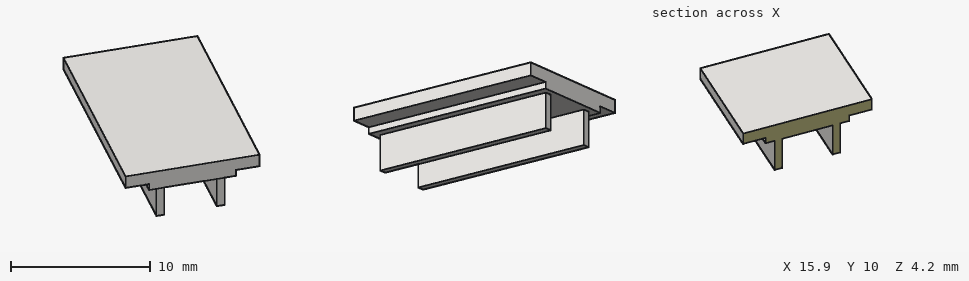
import cadquery as cq

plate_length = 15.9
plate_width = 10.0
plate_thickness = 1.0

pad_width = 6.5
pad_thickness = 0.5

total_height = 4.2
leg_end_inset = 0.5
leg_thickness = 0.6
leg_gap = 3.9

leg_length = plate_length - 2 * leg_end_inset
leg_height = total_height - plate_thickness - pad_thickness
leg_offset = (leg_gap + leg_thickness) / 2


def block(length, width, height, base_z, center_y=0):
    """Box centred on X, with its underside at base_z."""
    return (
        cq.Workplane("XY")
        .box(length, width, height, centered=(True, True, False))
        .translate((0, center_y, base_z))
    )


pad = block(plate_length, pad_width, pad_thickness, leg_height)
plate = block(plate_length, plate_width, plate_thickness, leg_height + pad_thickness)

result = plate.union(pad)
for side in (-1, 1):
    leg = block(leg_length, leg_thickness, leg_height, 0, side * leg_offset)
    result = result.union(leg)